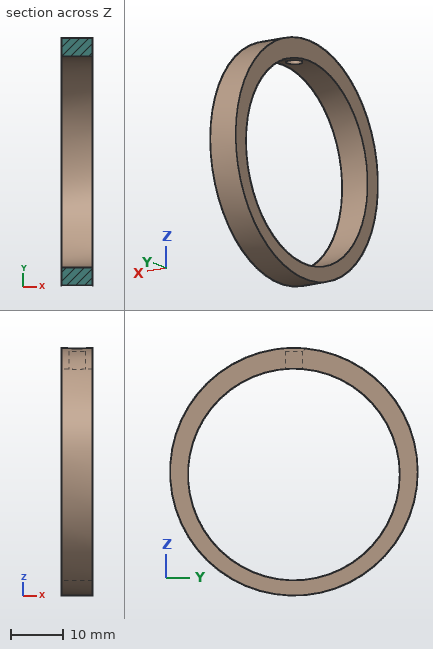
import cadquery as cq

outer_diameter = 47.5
bore_diameter = 40.5
bore_drop = 0.5
width = 6.0

screw_hole_diameter = 3.25
countersink_diameter = 4.55
countersink_angle = 90

outer_radius = outer_diameter / 2


def eccentric_ring():
    """Round ring centred on the origin, with the eccentric bore cut through."""
    profile = cq.Workplane("YZ", origin=(-width / 2, 0, 0)).circle(outer_radius)
    return profile.center(0, -bore_drop).circle(bore_diameter / 2).extrude(width)


def drill_screw_hole(ring):
    """Drill from the top of the ring into the bore, through one wall only."""
    return (
        ring.copyWorkplane(cq.Workplane("XY", origin=(0, 0, outer_radius)))
        .cskHole(screw_hole_diameter, countersink_diameter, countersink_angle, depth=outer_radius)
    )


result = drill_screw_hole(eccentric_ring())